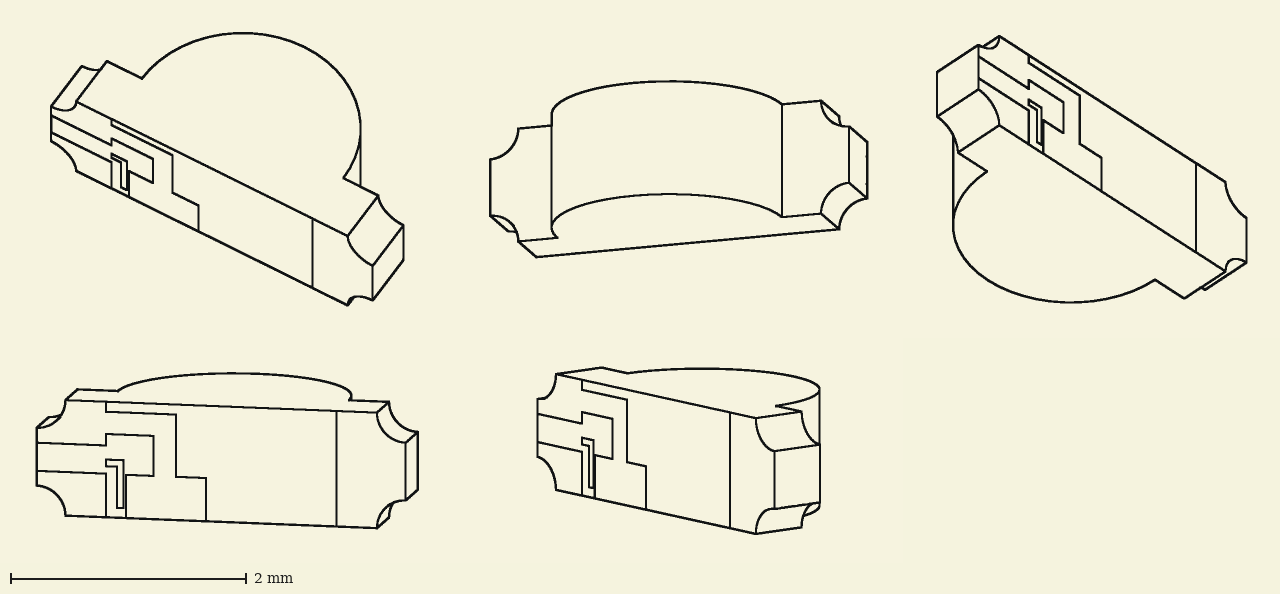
import cadquery as cq

length = 3.2
height = 1.0
base_depth = 0.5
notch_radius = 0.25

lens_radius = 1.0

metal_thickness = 0.001
pad_inner_x = 1.0
pad_gap = 0.243

trace_top = 0.413
trace_bottom = 0.22
trace_left = -0.585
trace_right = -0.39
foot_left = -0.825
foot_right = -0.13
foot_top = -0.125

mark_left = -1.0
mark_right = -0.845
mark_top = 0.0
mark_bottom = -0.413
mark_width = 0.058


def make_base():
    """Bar with a quarter-round notch along each of its four edges parallel to Y."""
    base = cq.Workplane("XY").box(length, base_depth, height).translate((0, -base_depth / 2, 0))
    notches = (
        cq.Workplane("XZ")
        .rect(length, height, forConstruction=True)
        .vertices()
        .circle(notch_radius)
        .extrude(base_depth)
    )
    return base.cut(notches)


def front_plate(left, right, bottom, top):
    """Rectangular plate of metal thickness whose outer face is the front of the part."""
    return (
        cq.Workplane("XY")
        .box(right - left, metal_thickness, top - bottom, centered=False)
        .translate((left, -base_depth, bottom))
    )


def make_metal():
    """All the raised areas: end pads, trace with its foot, and hooked mark."""
    end = length / 2
    edge = height / 2
    plates = [
        (pad_inner_x, end, -edge, edge),
        (-end, -pad_inner_x, pad_gap / 2, edge),
        (-end, -pad_inner_x, -edge, -pad_gap / 2),
        (-pad_inner_x, trace_right, trace_bottom, trace_top),
        (trace_left, trace_right, foot_top, trace_top),
        (foot_left, foot_right, -edge, foot_top),
        (mark_left, mark_right, mark_top - mark_width, mark_top),
        (mark_right - mark_width, mark_right, mark_bottom, mark_top),
    ]
    metal = front_plate(*plates[0])
    for plate in plates[1:]:
        metal = metal.union(front_plate(*plate))
    return metal


def make_recess():
    """Front layer of the base that is left bare between the metal areas."""
    front_layer = front_plate(-length / 2, length / 2, -height / 2, height / 2)
    return front_layer.cut(make_metal())


def make_lens():
    """Half disc standing on the back face of the base, as tall as the base."""
    return (
        cq.Workplane("XY")
        .workplane(offset=-height / 2)
        .moveTo(-lens_radius, 0)
        .threePointArc((0, lens_radius), (lens_radius, 0))
        .close()
        .extrude(height)
    )


result = make_base().cut(make_recess()).union(make_lens())